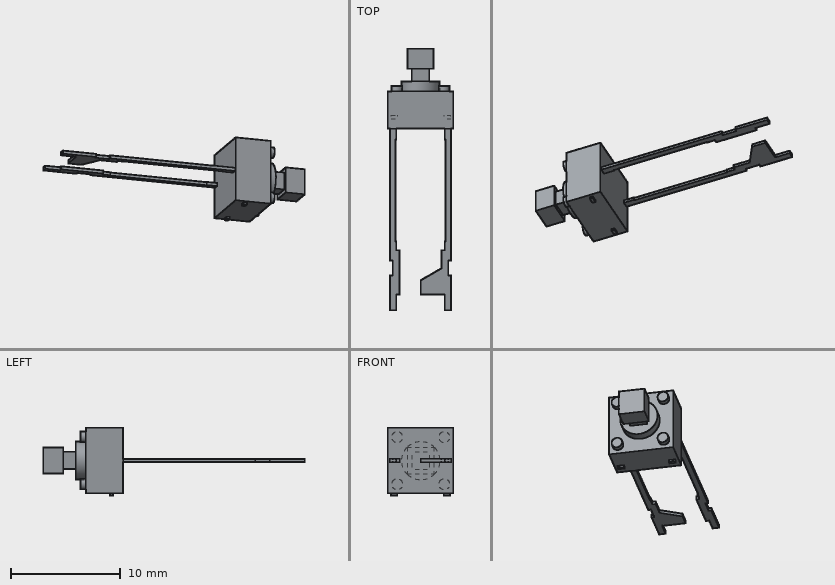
import cadquery as cq


body_side = 6.0
body_depth = 3.1
cover_thickness = 0.3
cover_face_y = body_depth + cover_thickness

collar_diameter = 3.5
collar_height = 0.92
stem_side = 1.6
stem_height = 1.13
cap_side = 2.4
cap_height = 1.85

rivet_diameter = 1.0
rivet_height = 0.5
rivet_offset = 2.15

foot_width = 0.6
foot_thickness = 0.3
foot_height = 0.2
foot_offset = 2.4
foot_center_y = 1.05

lead_length = 16.6
lead_thickness = 0.3
lead_outer_x = 2.8
lead_wide_x = 2.2
lead_narrow_x = 2.27
lead_shoulder_x = 1.9
notch_x = 2.55
root_end = 1.0
neck_end = 10.3
shoulder_start = 11.1
shoulder_end = 15.15
notch_start = 12.05
notch_end = 13.4
wing_tip_x = 0.0
wing_slope_start = 12.75
wing_slope_end = 13.85


def square_block(side, depth, start_y):
    """Square block centred on the Y axis, running from start_y toward +Y."""
    return cq.Workplane("XY").box(side, depth, side, centered=(True, False, True)).translate((0, start_y, 0))


def cover_disc(diameter, height, x=0.0, z=0.0):
    """Round disc standing on the cover face."""
    axis_start = cq.Vector(x, cover_face_y, z)
    return cq.Workplane(cq.Solid.makeCylinder(diameter / 2, height, axis_start, cq.Vector(0, 1, 0)))


def foot(side_sign):
    """Small flat foot below the body."""
    block = cq.Workplane("XY").box(foot_width, foot_thickness, foot_height)
    return block.translate((side_sign * foot_offset, foot_center_y, -(body_side + foot_height) / 2))


def lead(side_sign, shoulder_edge):
    """Flat lead; shoulder_edge lists the (x, distance) points along its inner shoulder."""
    outline = [
        (lead_outer_x, 0),
        (lead_wide_x, 0),
        (lead_wide_x, root_end),
        (lead_narrow_x, root_end),
        (lead_narrow_x, neck_end),
        (lead_wide_x, neck_end),
        (lead_wide_x, shoulder_start),
        *shoulder_edge,
        (lead_wide_x, shoulder_end),
        (lead_wide_x, lead_length),
        (lead_outer_x, lead_length),
        (lead_outer_x, notch_end),
        (notch_x, notch_end),
        (notch_x, notch_start),
        (lead_outer_x, notch_start),
    ]
    points = [(side_sign * x, -distance) for x, distance in outline]
    return cq.Workplane("XY").polyline(points).close().extrude(lead_thickness / 2, both=True)


def plain_lead():
    """Left lead with a straight shoulder."""
    shoulder_edge = [(lead_shoulder_x, shoulder_start), (lead_shoulder_x, shoulder_end)]
    return lead(-1, shoulder_edge)


def winged_lead():
    """Right lead whose shoulder widens into a wing reaching the middle plane."""
    shoulder_edge = [
        (lead_shoulder_x, shoulder_start),
        (lead_shoulder_x, wing_slope_start),
        (wing_tip_x, wing_slope_end),
        (wing_tip_x, shoulder_end),
    ]
    return lead(1, shoulder_edge)


def key():
    """Collar, stem and cap along the Y axis."""
    stem_start = cover_face_y + collar_height
    cap_start = stem_start + stem_height
    collar = cover_disc(collar_diameter, collar_height)
    stem = square_block(stem_side, stem_height, stem_start)
    return collar.union(stem).union(square_block(cap_side, cap_height, cap_start))


result = square_block(body_side, body_depth, 0).union(key().union(plain_lead()).union(winged_lead()))
for sign in (-1, 1):
    result = result.union(foot(sign))

result = result.union(square_block(body_side, cover_thickness, body_depth), clean=False)
for x_sign in (-1, 1):
    for z_sign in (-1, 1):
        rivet = cover_disc(rivet_diameter, rivet_height, x_sign * rivet_offset, z_sign * rivet_offset)
        result = result.union(rivet, clean=False)